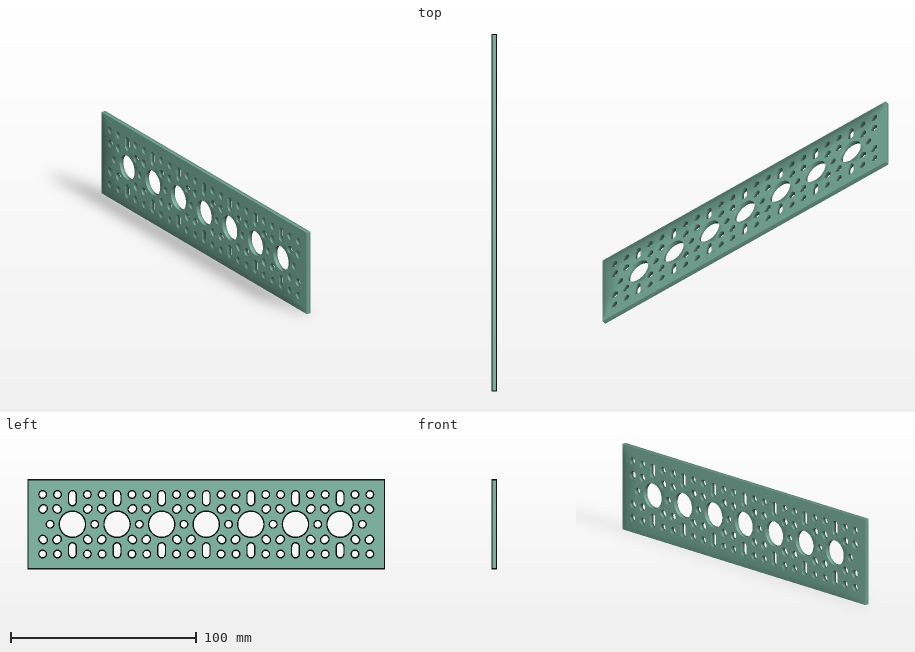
import cadquery as cq
import math

thickness = 2.5
module_pitch = 24.0
module_count = 8
length = module_count * module_pitch
width = 2 * module_pitch

grid_pitch = module_pitch / 3
bore_diameter = 14.0
hole_diameter = 4.0
bolt_circle_radius = module_pitch / 2
outer_row_z = 2 * grid_pitch

bore_ys = [(i - module_count / 2) * module_pitch for i in range(1, module_count)]
module_ys = [(i - (module_count - 1) / 2) * module_pitch for i in range(module_count)]
column_offset = grid_pitch / 2
diagonal_point = bolt_circle_radius * math.sqrt(0.5)


def round_cutters(points, diameter):
    """Cylinders through the plate at the given (y, z) points."""
    return cq.Workplane("YZ").pushPoints(points).circle(diameter / 2).extrude(thickness / 2, both=True)


def slot_cutters(centers, center_distance, angle):
    """Round-ended slots through the plate, angle in degrees from Y towards Z."""
    overall_length = center_distance + hole_diameter
    sketch = cq.Workplane("YZ").pushPoints(centers).slot2D(overall_length, hole_diameter, angle)
    return sketch.extrude(thickness / 2, both=True)


def cut_bores(plate):
    return plate.cut(round_cutters([(y, 0) for y in bore_ys], bore_diameter))


def cut_round_holes(plate):
    """One hole mid-module on the centre line and a pair in each outer row."""
    points = []
    for y in module_ys:
        points.append((y, 0))
        for z in (-outer_row_z, outer_row_z):
            points.append((y - column_offset, z))
            points.append((y + column_offset, z))
    return plate.cut(round_cutters(points, hole_diameter))


def cut_upright_slots(plate):
    """Slots above and below each bore, from the bolt circle to the outer row."""
    slot_z = (bolt_circle_radius + outer_row_z) / 2
    centers = [(y, side * slot_z) for y in bore_ys for side in (-1, 1)]
    return plate.cut(slot_cutters(centers, outer_row_z - bolt_circle_radius, 90))


def cut_diagonal_slots(plate):
    """Short slots in the inner rows, pointing away from the nearest module boundary."""
    slot_reach = (grid_pitch + diagonal_point) / 2
    center_distance = (diagonal_point - grid_pitch) * math.sqrt(2)
    column_y = module_pitch / 2 - slot_reach
    for y_side in (-1, 1):
        for z_side in (-1, 1):
            centers = [(y + y_side * column_y, z_side * slot_reach) for y in module_ys]
            plate = plate.cut(slot_cutters(centers, center_distance, -45 * y_side * z_side))
    return plate


result = cq.Workplane("XY").box(thickness, length, width)
result = cut_bores(result)
result = cut_round_holes(result)
result = cut_upright_slots(result)
result = cut_diagonal_slots(result)